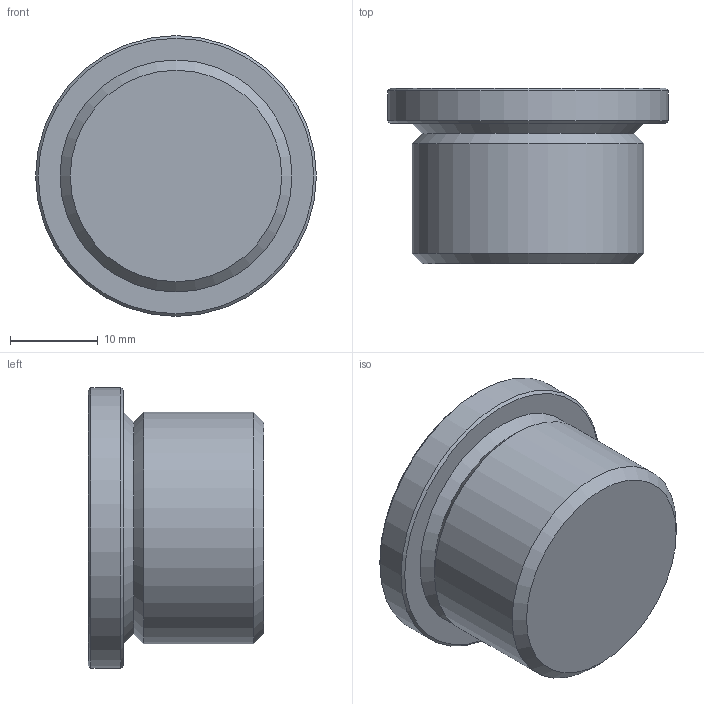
import cadquery as cq

total_length = 20.0
flange_diameter = 32.0
flange_thickness = 4.0
flange_chamfer = 0.3
shank_diameter = 26.44
shank_root_diameter = 24.117
bevel = (shank_diameter - shank_root_diameter) / 2

flange_radius = flange_diameter / 2
shank_radius = shank_diameter / 2
groove_radius = shank_root_diameter / 2

flange_back = total_length / 2
flange_front = flange_back - flange_thickness
groove_bottom = flange_front - bevel
groove_front = groove_bottom - bevel
shank_end = -total_length / 2


def half_profile():
    """Outline from the axis to the outside, drawn as (radius, y) in the XY plane."""
    return (
        cq.Workplane("XY")
        .moveTo(0, shank_end)
        .lineTo(groove_radius, shank_end)
        .lineTo(shank_radius, shank_end + bevel)
        .lineTo(shank_radius, groove_front)
        .lineTo(groove_radius, groove_bottom)
        .lineTo(shank_radius, flange_front)
        .lineTo(flange_radius - flange_chamfer, flange_front)
        .lineTo(flange_radius, flange_front + flange_chamfer)
        .lineTo(flange_radius, flange_back - flange_chamfer)
        .lineTo(flange_radius - flange_chamfer, flange_back)
        .lineTo(0, flange_back)
        .close()
    )


result = half_profile().revolve(360, (0, 0, 0), (0, 1, 0))